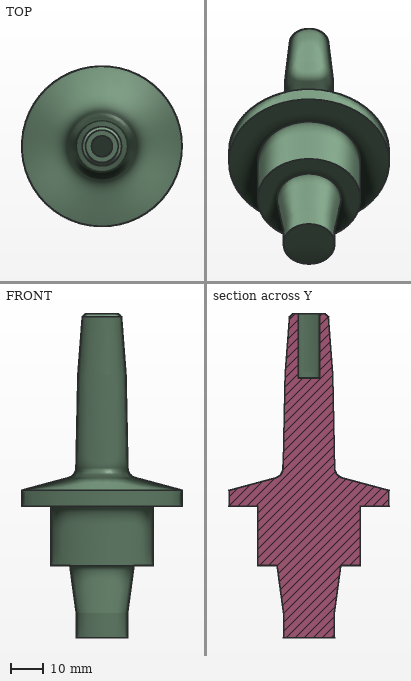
import cadquery as cq
import math

stub_top = 7.8
taper_top = 22.5
body_top = 41
flange_top = 46
tip_start = 82
overall_height = 101

stub_radius = 16 / 2
taper_top_radius = 20 / 2
body_radius = 32 / 2
flange_radius = 50 / 2
stem_base_radius = 16.3 / 2
tip_base_radius = 15 / 2
tip_end_radius = 12.1 / 2

cone_angle = 15
stem_fillet = 3
tip_chamfer = 1

hole_diameter = 6.5
hole_depth = 20

cone_top = flange_top + (flange_radius - stem_base_radius) * math.tan(math.radians(cone_angle))


def make_spindle():
    """Solid of revolution around Z, from its half outline in the XZ plane."""
    outline = [
        (0, 0),
        (stub_radius, 0),
        (stub_radius, stub_top),
        (taper_top_radius, taper_top),
        (body_radius, taper_top),
        (body_radius, body_top),
        (flange_radius, body_top),
        (flange_radius, flange_top),
        (stem_base_radius, cone_top),
        (tip_base_radius, tip_start),
        (tip_end_radius, overall_height),
        (0, overall_height),
    ]
    return cq.Workplane("XZ").polyline(outline).close().revolve(360, (0, 0, 0), (0, 1, 0))


def round_stem_root(part):
    """Fillet the circle where the stem leaves the flange cone."""
    margin = 0.1
    root_edge = cq.selectors.BoxSelector(
        (-flange_radius, -flange_radius, cone_top - margin),
        (flange_radius, flange_radius, cone_top + margin),
        boundingbox=False,
    )
    return part.edges(root_edge).fillet(stem_fillet)


def chamfer_tip(part):
    """Bevel the rim of the flat tip."""
    return part.faces(">Z").edges().chamfer(tip_chamfer)


def bore_tip(part):
    """Blind hole down from the tip along the axis."""
    return part.faces(">Z").workplane().hole(hole_diameter, hole_depth)


spindle = round_stem_root(make_spindle())
result = bore_tip(chamfer_tip(spindle))